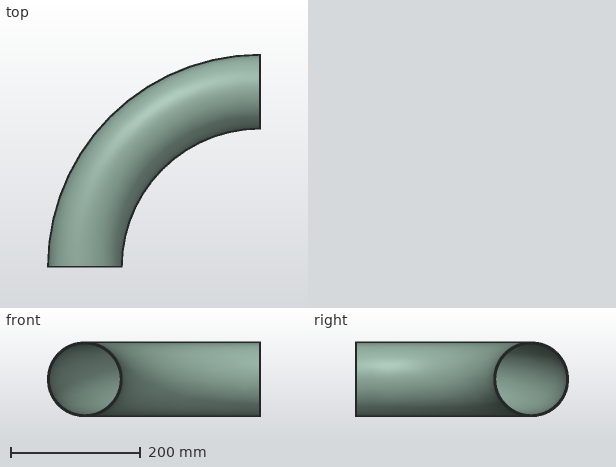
import cadquery as cq

overall_length = 327.0
outer_diameter = 114.2
wall_thickness = 2.0
bend_angle = 90.0

outer_radius = outer_diameter / 2
inner_radius = outer_radius - wall_thickness
bend_radius = overall_length - outer_radius

pipe_section = cq.Workplane("XZ").circle(outer_radius).circle(inner_radius)

result = pipe_section.revolve(
    bend_angle,
    axisStart=(bend_radius, 3.3, 0),
    axisEnd=(bend_radius, 0, 0),
)